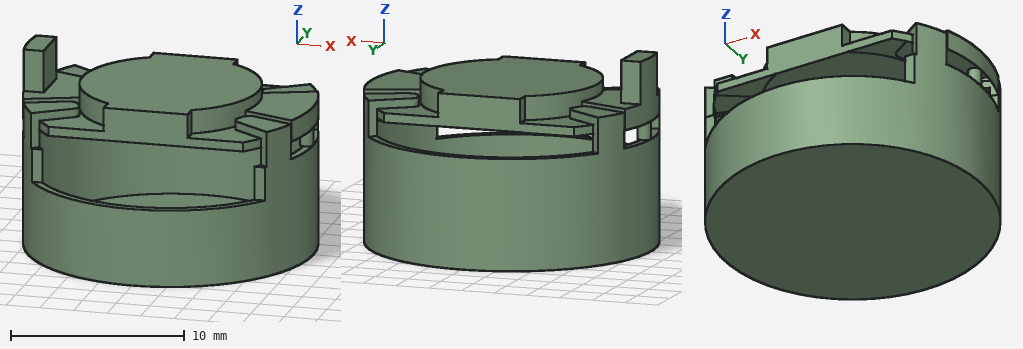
import cadquery as cq
import math

outer_radius = 8.5
inner_diameter = 16.0
inner_radius = inner_diameter / 2
wall = outer_radius - inner_radius
floor_thickness = 0.5
rim_z = 6.6
notch_z = 4.6
notch_y = -4.9

plate_bottom_z = 7.65
plate_top_z = 8.2
hub_top_z = 9.6
cover_top_z = 8.9
lever_top_z = 11.4
flat_half_width = 5.5
hub_radius = 5.25
tab_width = 5.0
cover_half_angle = 20.0
lever_inner_x = -7.19
lever_width = 2.82
pin_diameter = 0.8
pin_x = outer_radius - pin_diameter / 2

clip_top_z = 8.7
clip_tip_radius = 5.42
clip_tip_fillet = 0.5
clip_start_angle = 20.4
clip_end_angle = 34.4
clip_mid_angle = (clip_start_angle + clip_end_angle) / 2
clip_half_angle = (clip_end_angle - clip_start_angle) / 2
clip_mid_angles = [
    clip_mid_angle,
    180 - clip_mid_angle,
    180 + clip_mid_angle,
    360 - clip_mid_angle,
]


def cylinder(radius, bottom_z, top_z):
    """Round disc on the Z axis between two heights."""
    return cq.Workplane("XY").workplane(offset=bottom_z).circle(radius).extrude(top_z - bottom_z)


def block(x_min, x_max, y_min, y_max, bottom_z, top_z):
    """Upright box given by its limits along each axis."""
    size = (x_max - x_min, y_max - y_min, top_z - bottom_z)
    return cq.Workplane("XY").box(*size, centered=False).translate((x_min, y_min, bottom_z))


def polar(radius, angle):
    """Point at a radius and an angle in degrees about the Z axis."""
    return (radius * math.cos(math.radians(angle)), radius * math.sin(math.radians(angle)))


def ring_sector(inner, outer, mid_angle, half_angle, bottom_z, top_z):
    """Part of a flat ring between two radial sides."""
    start = mid_angle - half_angle
    end = mid_angle + half_angle
    return (
        cq.Workplane("XY")
        .workplane(offset=bottom_z)
        .moveTo(*polar(inner, start))
        .lineTo(*polar(outer, start))
        .threePointArc(polar(outer, mid_angle), polar(outer, end))
        .lineTo(*polar(inner, end))
        .threePointArc(polar(inner, mid_angle), polar(inner, start))
        .close()
        .extrude(top_z - bottom_z)
    )


def make_gap(mid_angle, half_angle):
    """Cutter that removes the cup wall above the rim between two clip posts."""
    return ring_sector(
        inner_radius - wall, outer_radius + wall, mid_angle, half_angle, rim_z, clip_top_z
    )


def make_arm(mid_angle):
    """Arm that reaches from a clip post inward over the plate, with a rounded tip."""
    root_radius = outer_radius - wall / 2
    arm = ring_sector(clip_tip_radius, root_radius, 0, clip_half_angle, plate_top_z, clip_top_z)
    arm = arm.edges("|Z").edges("<X").fillet(clip_tip_fillet)
    return arm.rotate((0, 0, 0), (0, 0, 1), mid_angle)


def make_housing():
    """Open cup with a lowered rim on the -Y side and four clips."""
    cup = cylinder(outer_radius, 0, clip_top_z)
    cup = cup.cut(cylinder(inner_radius, floor_thickness, clip_top_z))
    for mid_angle in (0, 180):
        cup = cup.cut(make_gap(mid_angle, clip_start_angle))
    for mid_angle in (90, 270):
        cup = cup.cut(make_gap(mid_angle, 90 - clip_end_angle))
    cup = cup.cut(block(-outer_radius, outer_radius, -outer_radius, notch_y, notch_z, rim_z))
    for mid_angle in clip_mid_angles:
        cup = cup.union(make_arm(mid_angle))
    return cup


def make_plate():
    """Round plate that fits between the clip posts, with a flat on each Y side."""
    plate = cylinder(inner_radius, plate_bottom_z, plate_top_z)
    return plate.intersect(
        block(-inner_radius, inner_radius, -flat_half_width, flat_half_width, plate_bottom_z, plate_top_z)
    )


def make_hub():
    """Raised round hub with a straight tab out to each flat of the plate."""
    hub = cylinder(hub_radius, plate_top_z, hub_top_z)
    tabs = block(
        -tab_width / 2, tab_width / 2, -flat_half_width, flat_half_width, plate_top_z, hub_top_z
    )
    return hub.union(tabs)


def make_end(mid_angle):
    """Thick sector at one end of the plate, rooted inside the hub and reaching the outer radius."""
    root_radius = hub_radius - wall
    return ring_sector(
        root_radius, outer_radius, mid_angle, cover_half_angle, plate_bottom_z, cover_top_z
    )


def make_lever():
    """Upright grip at the -X end, rounded to the outer radius."""
    lever = block(
        -outer_radius, lever_inner_x, -lever_width / 2, lever_width / 2, plate_top_z, lever_top_z
    )
    return lever.intersect(cylinder(outer_radius, plate_top_z, lever_top_z))


def make_pin(x):
    """Round foot between the plate and the housing rim."""
    return cylinder(pin_diameter / 2, rim_z, plate_top_z).translate((x, 0, 0))


def make_rotor():
    """Plate with its hub, end sectors, lever and the two pins that stand on the rim."""
    rotor = make_plate().union(make_hub())
    for mid_angle in (0, 180):
        rotor = rotor.union(make_end(mid_angle))
    for x in (-pin_x, pin_x):
        rotor = rotor.union(make_pin(x))
    return rotor.union(make_lever())


housing = make_housing()
rotor = make_rotor()

result = cq.Compound.makeCompound([housing.val(), rotor.val()])